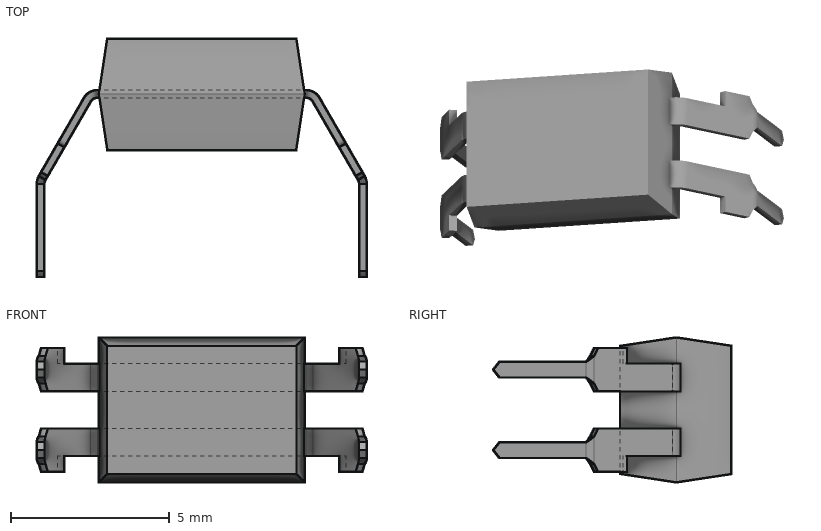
import cadquery as cq
import math


housing_length = 6.5
housing_width = 4.58
back_depth = 1.74
front_depth = 1.78
draft_angle = 8.6

thickness = 0.25
bend_inner_radius = 0.25
bend_outer_radius = bend_inner_radius + thickness
first_bend_x = 3.285
frame_length = 10.42
first_turn = math.radians(60)
full_turn = math.radians(90)
row_pitch = 2.54

shoulder_width = 1.37
leg_width = 0.5
step_height = 0.495
neck_height = 0.25
neck_angle = math.radians(60)
neck_length = neck_height / math.tan(neck_angle)
step_position = 1.66

leg_end_y = -5.78
tip_length = 0.2
bend_sections = 4

row_z = row_pitch / 2
half_shoulder = shoulder_width / 2
half_leg = leg_width / 2
half_neck = half_shoulder - neck_height
bar_bottom_z = row_z - half_shoulder
bar_width = shoulder_width - step_height
bar_middle_z = bar_bottom_z + bar_width / 2

half_frame = frame_length / 2
first_center = (first_bend_x, thickness / 2 - bend_outer_radius)
arm_run_x = math.cos(first_turn)
arm_drop_y = math.sin(first_turn)
second_center_x = half_frame - bend_outer_radius
arm_length = (second_center_x - first_center[0]) / arm_run_x
second_center = (second_center_x, first_center[1] - arm_length * arm_drop_y)
leg_length = second_center[1] - leg_end_y


def bend_point(center, radius, turn):
    """Point on a bend where the strip has turned by the given angle from X toward -Y."""
    return (center[0] + radius * math.sin(turn), center[1] + radius * math.cos(turn))


def strip_plane(center, turn):
    """Plane on the strip's outer face: local x along the strip, local y along Z, normal inward."""
    x, y = bend_point(center, bend_outer_radius, turn)
    return cq.Plane(
        origin=(x, y, row_z),
        xDir=(math.cos(turn), -math.sin(turn), 0),
        normal=(-math.sin(turn), -math.cos(turn), 0),
    )


def make_bar_half():
    """Half of the straight bar together with the first bend."""
    mid_turn = first_turn / 2
    return (
        cq.Workplane("XY", origin=(0, 0, bar_bottom_z))
        .moveTo(0, thickness / 2)
        .lineTo(first_bend_x, thickness / 2)
        .threePointArc(
            bend_point(first_center, bend_outer_radius, mid_turn),
            bend_point(first_center, bend_outer_radius, first_turn),
        )
        .lineTo(*bend_point(first_center, bend_inner_radius, first_turn))
        .threePointArc(
            bend_point(first_center, bend_inner_radius, mid_turn),
            (first_bend_x, -thickness / 2),
        )
        .lineTo(0, -thickness / 2)
        .close()
        .extrude(bar_width)
    )


def make_arm():
    """Flat slanted arm that widens at the shoulder and tapers toward the second bend."""
    neck_start = arm_length - neck_length
    outline = [
        (0, -half_shoulder),
        (neck_start, -half_shoulder),
        (arm_length, -half_neck),
        (arm_length, half_neck),
        (neck_start, half_shoulder),
        (step_position, half_shoulder),
        (step_position, half_shoulder - step_height),
        (0, half_shoulder - step_height),
    ]
    return cq.Workplane(strip_plane(first_center, first_turn)).polyline(outline).close().extrude(thickness)


def make_second_bend():
    """Curved bend that narrows evenly from the neck to the leg."""
    sections = []
    for index in range(bend_sections):
        fraction = index / (bend_sections - 1)
        turn = first_turn + fraction * (full_turn - first_turn)
        half_width = half_neck + fraction * (half_leg - half_neck)
        outer = bend_point(second_center, bend_outer_radius, turn)
        inner = bend_point(second_center, bend_inner_radius, turn)
        corners = [
            cq.Vector(*outer, row_z - half_width),
            cq.Vector(*outer, row_z + half_width),
            cq.Vector(*inner, row_z + half_width),
            cq.Vector(*inner, row_z - half_width),
        ]
        sections.append(cq.Wire.makePolygon(corners, close=True))
    return cq.Workplane(obj=cq.Solid.makeLoft(sections))


def make_leg():
    """Straight leg with a pointed tip."""
    outline = [
        (0, -half_leg),
        (leg_length - tip_length, -half_leg),
        (leg_length, 0),
        (leg_length - tip_length, half_leg),
        (0, half_leg),
    ]
    return cq.Workplane(strip_plane(second_center, full_turn)).polyline(outline).close().extrude(thickness)


def make_lead_frame():
    """Upper lead frame: one strip with a bent leg at each end."""
    half = make_bar_half().union(make_arm()).union(make_second_bend()).union(make_leg())
    return half.union(half.mirror("YZ")).clean()


def make_housing_half(depth):
    """Drafted half that rises from the parting plane toward -Y."""
    parting = cq.Workplane("XZ").rect(housing_length, housing_width)
    return parting.extrude(depth, taper=draft_angle)


def make_housing():
    """Two drafted halves, with a through slot for the bar of each lead frame."""
    housing = make_housing_half(front_depth).union(make_housing_half(back_depth).mirror("XZ"))
    for side in (1, -1):
        slot = cq.Workplane("XY").box(housing_length, thickness, bar_width)
        housing = housing.cut(slot.translate((0, 0, side * bar_middle_z)))
    return housing


housing = make_housing()

lead_frames = []
for side in (1, -1):
    frame = make_lead_frame()
    if side < 0:
        frame = frame.mirror("XY")
    lead_frames.extend(frame.solids().vals())

result = cq.Compound.makeCompound([*housing.solids().vals(), *lead_frames])